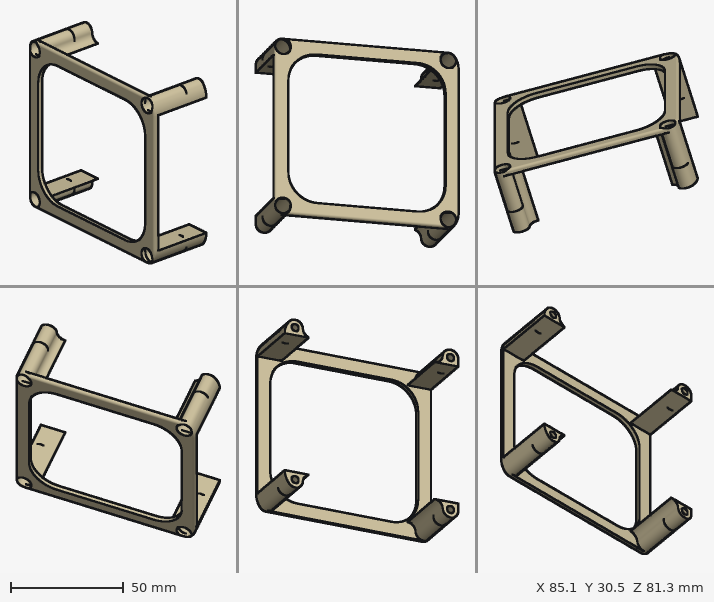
import cadquery as cq
import math

width = 85.1
depth = 30.5
height = 81.3

plate_thickness = 2.4
edge_radius = 1.2
window_width = 72.5
window_height = 68.75
window_corner_radius = 13.2

post_radius = 3.8
post_side = 7.5
bore_diameter = 3.4
counterbore_diameter = 7.15
counterbore_depth = 20.25
right_screw_inset = 5.1
shoulder_angle = math.radians(33)
web_radius = 4.0
right_tip_x = 30.8
right_tip_bevel = 0.7

front_y = -depth / 2
back_y = depth / 2
half_width = width / 2
screw_z = height / 2 - post_radius
left_screw_x = -half_width + post_radius
right_screw_x = half_width - right_screw_inset
post_bottom_z = height / 2 - post_side
diagonal = post_radius * math.sqrt(0.5)

web_center_z = post_bottom_z + web_radius
web_reach = math.sqrt((post_radius + web_radius) ** 2 - (web_center_z - screw_z) ** 2)
web_lean = math.atan2(web_center_z - screw_z, web_reach)
web_join_offset = post_radius * math.cos(web_lean)
web_join_z = screw_z + post_radius * math.sin(web_lean)


def right_shoulder(sketch):
    """Continue from the post crown down the right-hand shoulder to the flat underside."""
    start_x = right_screw_x + post_radius * math.cos(shoulder_angle)
    start_z = screw_z + post_radius * math.sin(shoulder_angle)
    run = half_width - start_x
    drop = start_z - post_bottom_z
    radius = (run**2 + drop**2) / (2 * run)
    half_sweep = math.asin(drop / radius) / 2
    middle = (
        half_width - radius * (1 - math.cos(half_sweep)),
        post_bottom_z + radius * math.sin(half_sweep),
    )
    crown_angle = (math.pi / 2 + shoulder_angle) / 2
    crown = (
        right_screw_x + post_radius * math.cos(crown_angle),
        screw_z + post_radius * math.sin(crown_angle),
    )
    return sketch.threePointArc(crown, (start_x, start_z)).threePointArc(middle, (half_width, post_bottom_z))


def from_front(y):
    """Sketch plane whose axes are X and Z and whose normal points to -Y."""
    return cq.Workplane("XZ", origin=(0, y, 0))


def left_post():
    """Upper left post: round crown, flat outer side and a concave web thinning to a sharp tip."""
    tip_x = left_screw_x + web_reach
    middle_angle = math.pi / 4
    middle = (tip_x - web_radius * math.cos(middle_angle), web_center_z - web_radius * math.sin(middle_angle))
    return (
        from_front(back_y)
        .moveTo(-half_width, post_bottom_z)
        .lineTo(-half_width, screw_z)
        .threePointArc((left_screw_x, height / 2), (left_screw_x + web_join_offset, web_join_z))
        .threePointArc(middle, (tip_x, post_bottom_z))
        .close()
        .extrude(depth)
    )


def right_post():
    """Upper right post: round crown, swelling outer shoulder and a web with a bevelled tip."""
    web_center_x = right_screw_x - web_reach
    end_x = right_tip_x + right_tip_bevel
    end_angle = math.acos((end_x - web_center_x) / web_radius)
    end = (end_x, web_center_z - web_radius * math.sin(end_angle))
    middle_angle = end_angle / 2
    middle = (
        web_center_x + web_radius * math.cos(middle_angle),
        web_center_z - web_radius * math.sin(middle_angle),
    )
    sketch = (
        from_front(back_y)
        .moveTo(right_tip_x, post_bottom_z)
        .lineTo(*end)
        .threePointArc(middle, (right_screw_x - web_join_offset, web_join_z))
        .threePointArc((right_screw_x - diagonal, screw_z + diagonal), (right_screw_x, height / 2))
    )
    return right_shoulder(sketch).close().extrude(depth)


def plate_blank():
    """Plate outline following the crowns of the posts, with a rounded front edge."""
    sketch = (
        from_front(front_y + plate_thickness)
        .moveTo(-half_width, 0)
        .lineTo(-half_width, screw_z)
        .threePointArc((left_screw_x - diagonal, screw_z + diagonal), (left_screw_x, height / 2))
        .lineTo(right_screw_x, height / 2)
    )
    upper = right_shoulder(sketch).lineTo(half_width, 0).close().extrude(plate_thickness)
    return upper.union(upper.mirror("XY")).clean().faces("<Y").edges().fillet(edge_radius)


def window():
    return (
        from_front(back_y)
        .rect(window_width, window_height)
        .extrude(depth)
        .edges("|Y")
        .fillet(window_corner_radius)
    )


def screw_hole(x, z):
    bore = from_front(back_y).center(x, z).circle(bore_diameter / 2).extrude(depth)
    head = (
        from_front(front_y + counterbore_depth)
        .center(x, z)
        .circle(counterbore_diameter / 2)
        .extrude(counterbore_depth)
    )
    return bore.union(head)


behind_edge = cq.Workplane("XY").box(width, depth, height).translate((0, edge_radius, 0))
posts = left_post().union(right_post()).intersect(behind_edge)
posts = posts.union(posts.mirror("XY"))

result = plate_blank().cut(window()).union(posts)
for screw_x in (left_screw_x, right_screw_x):
    for side in (-1, 1):
        result = result.cut(screw_hole(screw_x, side * screw_z))